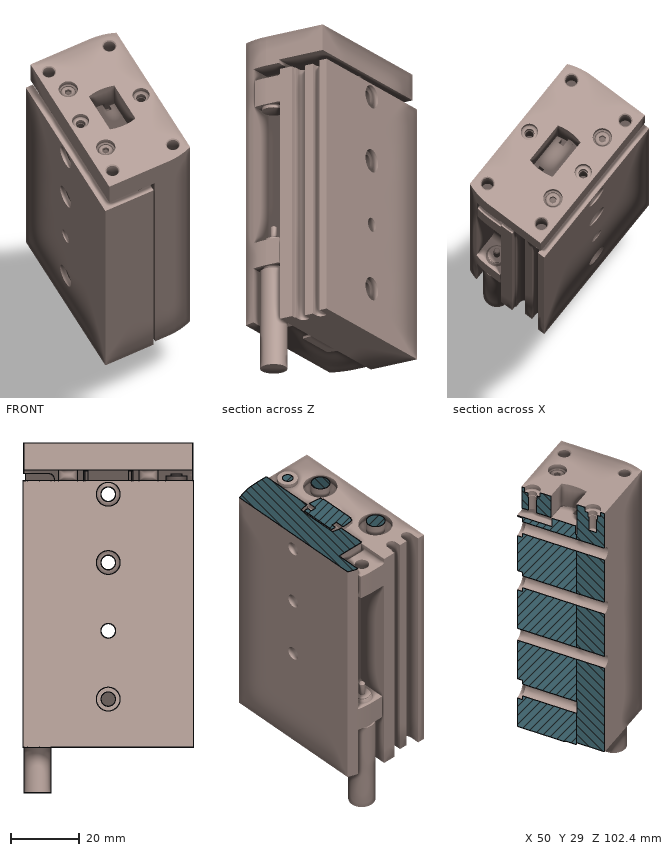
import cadquery as cq

HOUSING_WIDTH = 50.0
HOUSING_DEPTH = 16.0
HOUSING_HEIGHT = 78.0

TOTAL_DEPTH = 29.0
TOTAL_HEIGHT = 102.4
TABLE_WIDTH = 49.6
TABLE_FRONT_Y = 16.6
TABLE_BOTTOM_Z = 1.0
TABLE_SKIN = 3.3
END_PLATE_FRONT_Y = 1.4
END_PLATE_THICKNESS = 8.0
SIDE_ARC_RADIUS = 20.5
SIDE_ARC_DEPTH = 8.0

ABSORBER_X = -20.7
ABSORBER_Y = 20.9
ABSORBER_BOTTOM_Z = -13.3

TABLE_TOP_Z = TOTAL_HEIGHT + ABSORBER_BOTTOM_Z
END_PLATE_BOTTOM_Z = TABLE_TOP_Z - END_PLATE_THICKNESS

NOTCH_WALL_X = -15.8
NOTCH_FILLET = 1.6
NOTCH_TOP_Z = 80.1
LUG_TOP_Z = 25.7
LUG_BOTTOM_Z = 17.8

STOP_TOP_Z = 76.2
STOP_BOTTOM_Z = 68.0
STOP_BACK_Y = 25.0
STOP_INNER_X = -16.4
STOP_FILLET = TABLE_FRONT_Y - HOUSING_DEPTH

RAIL_HALF_WIDTH = 5.9
RAIL_FRONT_Y = 11.4
RAIL_BACK_Y = 19.3
RAIL_BOTTOM_Z = 0.3
RAIL_TOP_Z = END_PLATE_BOTTOM_Z
RAIL_NOTCH_DEPTH = 1.4
RAIL_NOTCH_FRONT_Y = 15.9
RAIL_NOTCH_BACK_Y = 17.6
FLANK_FRONT_Y = 11.7
FLANK_STEP_Y = 14.1
FLANK_STEP = 0.1

WINDOW_FRONT_Y = 11.2
WINDOW_BACK_Y = 19.6
WINDOW_END_HALF_WIDTH = 6.7
WINDOW_MID_HALF_WIDTH = 7.3

RECESS_FRONT_Y = 2.4
RECESS_BACK_Y = 11.9
RECESS_DEPTH = 1.4
GROOVE_WIDTH = 3.3
GROOVE_AXIS_INSET = 3.2
GROOVE_YS = [4.0, 9.9]

MOUNT_PITCH = 20.0
MOUNT_FIRST_Z = 14.1
MOUNT_DIAMETER = 4.2
MOUNT_BORE_DIAMETER = 7.0
MOUNT_BORE_DEPTH = 1.6
MOUNT_ZS = [MOUNT_FIRST_Z + i * MOUNT_PITCH for i in range(4)]
COUNTERBORED_ZS = [MOUNT_ZS[0], MOUNT_ZS[2], MOUNT_ZS[3]]
OPEN_ZS = MOUNT_ZS[1:]

PLATE_HOLE_CENTER_Y = 15.0
PLATE_HOLE_PITCH = MOUNT_PITCH
TAPPED_DIAMETER = 3.6
TAPPED_MOUTH_DIAMETER = 4.2
TAPPED_DEPTH = 6.1
SCREW_BORE_DIAMETER = 5.0
SCREW_BORE_DEPTH = 1.5
SCREW_RING_DIAMETER = 2.9
SCREW_RING_DEPTH = 3.1
SCREW_HOLE_DIAMETER = 2.5

ROD_X = 11.8
ROD_Y = 7.1
ROD_DIAMETER = 5.6
ROD_BOTTOM_Z = 10.2
ROD_SEAL_DIAMETER = 10.0
ROD_SEAL_DEPTH = 2.0
ROD_NECK_DIAMETER = 4.5
ROD_NECK_CHAMFER = 0.3
ROD_BORE_DIAMETER = 5.6
ROD_BORE_DEPTH = 1.5
ROD_HEX_FLATS = 1.9
ROD_HEX_DEPTH = 1.0
ROD_HEX_SIDES = 6
ROD_HEX_TURN = 180 / ROD_HEX_SIDES

PLUG_X = 20.0
PLUG_Y = 12.5
PLUG_DIAMETER = 6.0
PLUG_HEIGHT = 1.3
PLUG_CAP_DIAMETER = 3.3
PLUG_CAP_HEIGHT = 0.6

ABSORBER_DIAMETER = 8.0
ABSORBER_SHOULDER_Z = 16.9
ABSORBER_NECK_DIAMETER = 6.5
ABSORBER_TIP_DIAMETER = 5.3
ABSORBER_TIP_HEIGHT = 0.9
COLLAR_DIAMETER = 5.0
COLLAR_HEIGHT = 0.3
PIN_DIAMETER = 1.8
PIN_CHAMFER = 0.3
PIN_TOP_Z = 31.0

BUMPER_DIAMETER = 7.0
BUMPER_HEIGHT = 0.9
BUMPER_HOLE_DIAMETER = 4.2
BUMPER_SHANK_LENGTH = 4.1


def box(x0, x1, y0, y1, z0, z1):
    """Box between two opposite corners."""
    return cq.Workplane("XY").box(x1 - x0, y1 - y0, z1 - z0, centered=False).translate((x0, y0, z0))


def cylinder(x, y, z0, z1, diameter):
    """Upright cylinder from z0 to z1."""
    return cq.Workplane("XY", origin=(x, y, z0)).circle(diameter / 2).extrude(z1 - z0)


def cone(x, y, z0, z1, bottom_diameter, top_diameter):
    """Upright cone frustum from z0 to z1."""
    solid = cq.Solid.makeCone(bottom_diameter / 2, top_diameter / 2, z1 - z0, cq.Vector(x, y, z0))
    return cq.Workplane("XY").add(solid)


def arc_inset(depth):
    """Inset of a rounded side at a depth past the start of its arc."""
    return SIDE_ARC_RADIUS - (SIDE_ARC_RADIUS**2 - depth**2) ** 0.5


def rounded_block(width, y0, z0, z1):
    """Block whose sides curve inward toward the back face."""
    half = width / 2
    arc_start_y = TOTAL_DEPTH - SIDE_ARC_DEPTH
    mid_half = half - arc_inset(SIDE_ARC_DEPTH / 2)
    mid_y = TOTAL_DEPTH - SIDE_ARC_DEPTH / 2
    back_half = half - arc_inset(SIDE_ARC_DEPTH)
    return (
        cq.Workplane("XY", origin=(0, 0, z0))
        .moveTo(-half, y0)
        .lineTo(half, y0)
        .lineTo(half, arc_start_y)
        .threePointArc((mid_half, mid_y), (back_half, TOTAL_DEPTH))
        .lineTo(-back_half, TOTAL_DEPTH)
        .threePointArc((-mid_half, mid_y), (-half, arc_start_y))
        .close()
        .extrude(z1 - z0)
    )


def lens(z0, z1):
    """Prism with flat front and back and bowed sides."""
    end_half = WINDOW_END_HALF_WIDTH
    mid_half = WINDOW_MID_HALF_WIDTH
    front_y = WINDOW_FRONT_Y
    back_y = WINDOW_BACK_Y
    mid_y = (front_y + back_y) / 2
    return (
        cq.Workplane("XY", origin=(0, 0, z0))
        .moveTo(-end_half, front_y)
        .lineTo(end_half, front_y)
        .threePointArc((mid_half, mid_y), (end_half, back_y))
        .lineTo(-end_half, back_y)
        .threePointArc((-mid_half, mid_y), (-end_half, front_y))
        .close()
        .extrude(z1 - z0)
    )


def mount_hole(z, diameter, y0, y1):
    """Horizontal cylinder along Y on the centreline."""
    return cq.Workplane("XZ", origin=(0, y0, z)).circle(diameter / 2).extrude(y0 - y1)


def lens_slice(y0, y1, z1):
    """Part of the lens prism between two Y planes, from the rail's lower end up to z1."""
    half = WINDOW_MID_HALF_WIDTH
    return lens(RAIL_BOTTOM_Z, z1).intersect(box(-half, half, y0, y1, RAIL_BOTTOM_Z, z1))


def make_rail():
    """Guide rail: a grooved core between lens-shaped flanks that step down from its top."""
    rail = box(-RAIL_HALF_WIDTH, RAIL_HALF_WIDTH, RAIL_FRONT_Y, RAIL_BACK_Y, RAIL_BOTTOM_Z, RAIL_TOP_Z)
    groove_floor_x = RAIL_HALF_WIDTH - RAIL_NOTCH_DEPTH
    for x0, x1 in ((-RAIL_HALF_WIDTH, -groove_floor_x), (groove_floor_x, RAIL_HALF_WIDTH)):
        rail = rail.cut(box(x0, x1, RAIL_NOTCH_FRONT_Y, RAIL_NOTCH_BACK_Y, RAIL_BOTTOM_Z, RAIL_TOP_Z))
    upper_z = RAIL_TOP_Z - FLANK_STEP
    lower_z = upper_z - FLANK_STEP
    rail = rail.union(lens_slice(FLANK_FRONT_Y, FLANK_STEP_Y, lower_z))
    rail = rail.union(lens_slice(FLANK_STEP_Y, HOUSING_DEPTH, upper_z))
    return rail.union(lens_slice(HOUSING_DEPTH, WINDOW_BACK_Y, HOUSING_HEIGHT))


def make_stop_lug():
    """Lug behind the housing, filleted where it meets the housing, with the bumper hole."""
    half = HOUSING_WIDTH / 2
    lug = rounded_block(HOUSING_WIDTH, HOUSING_DEPTH, STOP_BOTTOM_Z, STOP_TOP_Z)
    lug = lug.intersect(box(-half, STOP_INNER_X, HOUSING_DEPTH, STOP_BACK_Y, STOP_BOTTOM_Z, STOP_TOP_Z))
    root = box(
        -half, STOP_INNER_X, HOUSING_DEPTH, TABLE_FRONT_Y,
        STOP_BOTTOM_Z - STOP_FILLET, STOP_TOP_Z + STOP_FILLET,
    )
    for z in (STOP_BOTTOM_Z - STOP_FILLET, STOP_TOP_Z + STOP_FILLET):
        hollow = cq.Workplane("YZ", origin=(-half, TABLE_FRONT_Y, z)).circle(STOP_FILLET)
        root = root.cut(hollow.extrude(half + STOP_INNER_X))
    hole = cylinder(ABSORBER_X, ABSORBER_Y, STOP_BOTTOM_Z, STOP_TOP_Z, BUMPER_HOLE_DIAMETER)
    return lug.union(root).cut(hole)


def cut_sensor_grooves(body):
    """Shallow recess along the side with two round-bottomed grooves in its floor."""
    side_x = -HOUSING_WIDTH / 2
    axis_x = side_x + GROOVE_AXIS_INSET
    recess = box(side_x, side_x + RECESS_DEPTH, RECESS_FRONT_Y, RECESS_BACK_Y, 0, HOUSING_HEIGHT)
    body = body.cut(recess)
    for y in GROOVE_YS:
        half = GROOVE_WIDTH / 2
        body = body.cut(box(side_x, axis_x, y - half, y + half, 0, HOUSING_HEIGHT))
        body = body.cut(cylinder(axis_x, y, 0, HOUSING_HEIGHT, GROOVE_WIDTH))
    return body


def make_housing():
    half = HOUSING_WIDTH / 2
    housing = box(-half, half, 0, HOUSING_DEPTH, 0, HOUSING_HEIGHT)
    housing = cut_sensor_grooves(housing)
    housing = housing.union(make_rail()).union(make_stop_lug())

    plug_top_z = HOUSING_HEIGHT + PLUG_HEIGHT
    housing = housing.union(cylinder(PLUG_X, PLUG_Y, HOUSING_HEIGHT, plug_top_z, PLUG_DIAMETER))
    cap = cylinder(PLUG_X, PLUG_Y, plug_top_z, plug_top_z + PLUG_CAP_HEIGHT, PLUG_CAP_DIAMETER)
    housing = housing.union(cap)

    for z in MOUNT_ZS:
        housing = housing.cut(mount_hole(z, MOUNT_DIAMETER, 0, WINDOW_BACK_Y))
    for z in COUNTERBORED_ZS:
        housing = housing.cut(mount_hole(z, MOUNT_BORE_DIAMETER, 0, MOUNT_BORE_DEPTH))

    for x in (-ROD_X, ROD_X):
        housing = housing.cut(cylinder(x, ROD_Y, ROD_BOTTOM_Z, HOUSING_HEIGHT, ROD_DIAMETER))
        seal_z = HOUSING_HEIGHT - ROD_SEAL_DEPTH
        housing = housing.cut(cylinder(x, ROD_Y, seal_z, HOUSING_HEIGHT, ROD_SEAL_DIAMETER))
    return housing


def make_notch(z0, z1, filleted_edges):
    """Notch cutter open toward -X and -Y, with fillets along the chosen inner edges."""
    back_y = TOTAL_DEPTH - TABLE_SKIN
    notch = box(-HOUSING_WIDTH / 2, NOTCH_WALL_X, HOUSING_DEPTH, back_y, z0, z1)
    return notch.edges("|Y and >X").edges(filleted_edges).fillet(NOTCH_FILLET)


def cut_plate_holes(table):
    """Tapped corner holes, centre screw holes and rod neck holes through the end plate."""
    mouth_depth = (TAPPED_MOUTH_DIAMETER - TAPPED_DIAMETER) / 2
    for row in (-1, 1):
        y = PLATE_HOLE_CENTER_Y + row * PLATE_HOLE_PITCH / 2
        for x in (-PLATE_HOLE_PITCH, PLATE_HOLE_PITCH):
            table = table.cut(cylinder(x, y, TABLE_TOP_Z - TAPPED_DEPTH, TABLE_TOP_Z, TAPPED_DIAMETER))
            mouth = cone(x, y, TABLE_TOP_Z - mouth_depth, TABLE_TOP_Z, TAPPED_DIAMETER, TAPPED_MOUTH_DIAMETER)
            table = table.cut(mouth)
        steps = [
            (END_PLATE_THICKNESS, SCREW_HOLE_DIAMETER),
            (SCREW_RING_DEPTH, SCREW_RING_DIAMETER),
            (SCREW_BORE_DEPTH, SCREW_BORE_DIAMETER),
        ]
        for depth, diameter in steps:
            table = table.cut(cylinder(0, y, TABLE_TOP_Z - depth, TABLE_TOP_Z, diameter))
    for x in (-ROD_X, ROD_X):
        table = table.cut(cylinder(x, ROD_Y, END_PLATE_BOTTOM_Z, TABLE_TOP_Z, ROD_NECK_DIAMETER))
        bore = cylinder(x, ROD_Y, TABLE_TOP_Z - ROD_BORE_DEPTH, TABLE_TOP_Z, ROD_BORE_DIAMETER)
        table = table.cut(bore)
    return table


def make_table():
    table = rounded_block(TABLE_WIDTH, TABLE_FRONT_Y, TABLE_BOTTOM_Z, TABLE_TOP_Z)
    table = table.union(rounded_block(TABLE_WIDTH, END_PLATE_FRONT_Y, END_PLATE_BOTTOM_Z, TABLE_TOP_Z))
    table = table.cut(make_notch(LUG_TOP_Z, NOTCH_TOP_Z, "|Y"))
    table = table.cut(make_notch(TABLE_BOTTOM_Z, LUG_BOTTOM_Z, ">Z"))
    table = table.cut(lens(TABLE_BOTTOM_Z, TABLE_TOP_Z))
    table = table.cut(cylinder(ABSORBER_X, ABSORBER_Y, LUG_BOTTOM_Z, LUG_TOP_Z, ABSORBER_NECK_DIAMETER))
    barrel_seat = cylinder(ABSORBER_X, ABSORBER_Y, TABLE_BOTTOM_Z, ABSORBER_SHOULDER_Z, ABSORBER_DIAMETER)
    table = table.cut(barrel_seat)
    for z in OPEN_ZS:
        table = table.cut(mount_hole(z, MOUNT_DIAMETER, TABLE_FRONT_Y, TOTAL_DEPTH))
    return cut_plate_holes(table)


def make_absorber():
    """Shock absorber: barrel, neck through the table lug, tapered tip, collar and pin."""
    x, y = ABSORBER_X, ABSORBER_Y
    tip_top_z = LUG_TOP_Z + ABSORBER_TIP_HEIGHT
    collar_top_z = tip_top_z + COLLAR_HEIGHT
    pin = cylinder(x, y, collar_top_z, PIN_TOP_Z, PIN_DIAMETER).faces(">Z").chamfer(PIN_CHAMFER)
    return (
        cylinder(x, y, ABSORBER_BOTTOM_Z, ABSORBER_SHOULDER_Z, ABSORBER_DIAMETER)
        .union(cylinder(x, y, ABSORBER_SHOULDER_Z, LUG_TOP_Z, ABSORBER_NECK_DIAMETER))
        .union(cone(x, y, LUG_TOP_Z, tip_top_z, ABSORBER_NECK_DIAMETER, ABSORBER_TIP_DIAMETER))
        .union(cylinder(x, y, tip_top_z, collar_top_z, COLLAR_DIAMETER))
        .union(pin)
    )


def make_bumper():
    """Bumper pad under the housing lug, with its shank in the lug hole."""
    pad = cylinder(ABSORBER_X, ABSORBER_Y, STOP_BOTTOM_Z - BUMPER_HEIGHT, STOP_BOTTOM_Z, BUMPER_DIAMETER)
    shank_top_z = STOP_BOTTOM_Z + BUMPER_SHANK_LENGTH
    return pad.union(cylinder(ABSORBER_X, ABSORBER_Y, STOP_BOTTOM_Z, shank_top_z, BUMPER_HOLE_DIAMETER))


def make_rod(x):
    """Piston rod with a socketed neck through the end plate."""
    neck_top_z = TABLE_TOP_Z - ROD_BORE_DEPTH
    neck = cylinder(x, ROD_Y, END_PLATE_BOTTOM_Z, neck_top_z, ROD_NECK_DIAMETER)
    neck = neck.faces(">Z").chamfer(ROD_NECK_CHAMFER)
    hex_diameter = 2 * ROD_HEX_FLATS / 3**0.5
    socket = cq.Workplane("XY").polygon(ROD_HEX_SIDES, hex_diameter).extrude(ROD_HEX_DEPTH)
    socket = socket.rotate((0, 0, 0), (0, 0, 1), ROD_HEX_TURN)
    socket = socket.translate((x, ROD_Y, neck_top_z - ROD_HEX_DEPTH))
    rod = cylinder(x, ROD_Y, ROD_BOTTOM_Z, END_PLATE_BOTTOM_Z, ROD_DIAMETER).union(neck)
    return rod.cut(socket)


housing = make_housing().solids()
table = make_table().solids()
absorber = make_absorber().solids()
bumper = make_bumper().solids()
rods = [make_rod(x).solids() for x in (-ROD_X, ROD_X)]

result = cq.Compound.makeCompound(
    [housing.val(), table.val(), absorber.val(), bumper.val(), *[rod.val() for rod in rods]]
)